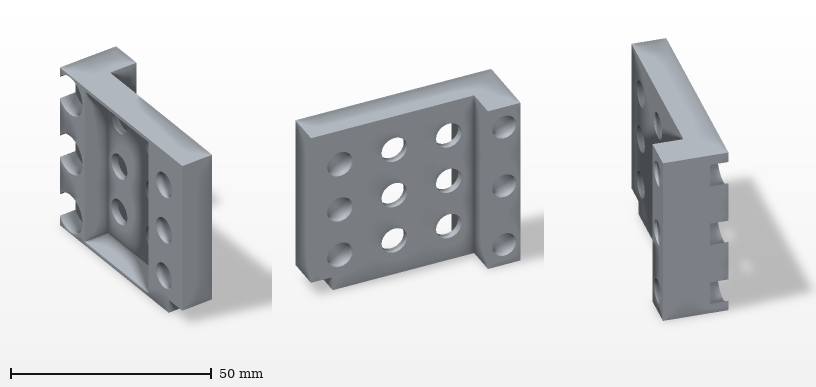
import cadquery as cq

length = 54.0
height = 47.0
plate_thickness = 9.0
flange_depth = 17.0
flange_width = plate_thickness

notch_length = 6.0
notch_height = 3.9

pocket_left = 11.0
pocket_width = 28.0
pocket_height = 45.0
pocket_depth = 7.0

grid_diameter = 7.0
grid_columns = 3
grid_rows = 3
grid_pitch_x = 15.0
grid_pitch_z = 13.5
grid_first_x = 16.0

mount_diameter = 6.6
mount_bore_diameter = 11.0
mount_bore_depth = 4.8
mount_count = 3
mount_pitch = 17.5
mount_x = flange_width / 2

mid_height = height / 2


def block(x, y, z, size_x, size_y, size_z):
    """Box with its lowest corner at (x, y, z)."""
    return cq.Workplane("XY").box(size_x, size_y, size_z, centered=False).translate((x, y, z))


def cylinder_from_front(x, z, diameter, depth):
    """Cylinder that starts on the front face (Y = 0) and runs towards +Y."""
    axis_start = cq.Vector(x, 0, z)
    return cq.Workplane(cq.Solid.makeCylinder(diameter / 2, depth, axis_start, cq.Vector(0, 1, 0)))


def centered_positions(count, pitch):
    """Heights of evenly spaced holes, centered on the part."""
    return [mid_height + (i - (count - 1) / 2) * pitch for i in range(count)]


body = block(0, 0, 0, length, plate_thickness, height)
body = body.union(block(0, 0, 0, flange_width, flange_depth, height))

body = body.cut(block(length - notch_length, 0, 0, notch_length, plate_thickness, notch_height))

pocket_bottom = (height - pocket_height) / 2
body = body.cut(block(pocket_left, 0, pocket_bottom, pocket_width, pocket_depth, pocket_height))

for column in range(grid_columns):
    for hole_z in centered_positions(grid_rows, grid_pitch_z):
        hole_x = grid_first_x + column * grid_pitch_x
        body = body.cut(cylinder_from_front(hole_x, hole_z, grid_diameter, plate_thickness))

for hole_z in centered_positions(mount_count, mount_pitch):
    body = body.cut(cylinder_from_front(mount_x, hole_z, mount_diameter, flange_depth))
    body = body.cut(cylinder_from_front(mount_x, hole_z, mount_bore_diameter, mount_bore_depth))

result = body